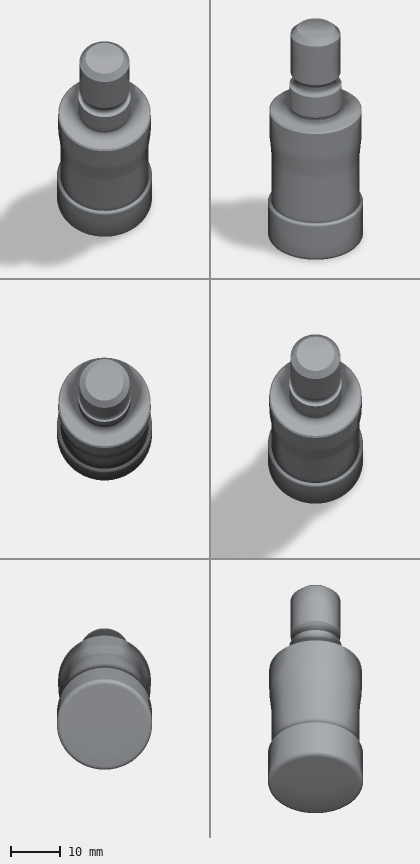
import cadquery as cq
import math

cap_diameter = 19.05
cap_height = 8.58
cap_bottom_fillet = 0.9
cap_top_fillet = 0.5

barrel_radius = 8.8
head_radius = 9.25
cone_bottom_z = 19.5
cone_top_z = 24.05
cone_blend_length = 0.45
head_top_z = 30.15
head_chamfer = 0.3

collar_radius = 5.25
collar_bottom_z = 31.15
collar_top_z = 35.95
undercut_depth = 0.4

total_height = 49.0
stud_radius = 5.0
stud_chamfer = 1.22
stud_bottom_z = 38.65
stud_edge_fillet = 0.35
neck_radius = 3.95
neck_top_fillet = 0.5
neck_base_fillet = 0.9

cap_radius = cap_diameter / 2
undercut_radius = collar_radius - undercut_depth
undercut_top_z = collar_bottom_z - undercut_depth
neck_top_z = stud_bottom_z - (stud_radius - neck_radius)
cone_angle = math.atan((head_radius - barrel_radius) / (cone_top_z - cone_bottom_z))
blend_rise = cone_blend_length * math.cos(cone_angle)
blend_run = cone_blend_length * math.sin(cone_angle)


def fillet_rim(body, radius, z, size):
    """Round the circular edge of the given radius at height z."""
    rims = body.edges("%CIRCLE")
    tolerance = 0.0005
    rim = rims.filter(
        lambda edge: abs(edge.Center().z - z) < tolerance and abs(edge.radius() - radius) < tolerance
    )
    return rim.fillet(size)


def make_cap():
    """Solid round cap with both rims rounded."""
    cap = cq.Workplane("XY").circle(cap_radius).extrude(cap_height)
    cap = cap.faces("<Z").edges().fillet(cap_bottom_fillet)
    return cap.faces(">Z").edges().fillet(cap_top_fillet)


def make_body():
    """Barrel, head, collar and stud turned as one piece, standing on the cap."""
    profile = (
        cq.Workplane("XZ")
        .moveTo(0, cap_height)
        .lineTo(barrel_radius, cap_height)
        .lineTo(barrel_radius, cone_bottom_z - cone_blend_length)
        .tangentArcPoint((barrel_radius + blend_run, cone_bottom_z + blend_rise), relative=False)
        .lineTo(head_radius - blend_run, cone_top_z - blend_rise)
        .tangentArcPoint((head_radius, cone_top_z + cone_blend_length), relative=False)
        .lineTo(head_radius, head_top_z - head_chamfer)
        .lineTo(head_radius - head_chamfer, head_top_z)
        .lineTo(undercut_radius, head_top_z)
        .lineTo(undercut_radius, undercut_top_z)
        .lineTo(collar_radius, collar_bottom_z)
        .lineTo(collar_radius, collar_top_z)
        .lineTo(neck_radius, collar_top_z)
        .lineTo(neck_radius, neck_top_z)
        .lineTo(stud_radius, stud_bottom_z)
        .lineTo(stud_radius, total_height - stud_chamfer)
        .lineTo(stud_radius - stud_chamfer, total_height)
        .lineTo(0, total_height)
        .close()
    )
    body = profile.revolve(360, (0, 0, 0), (0, 1, 0))
    body = fillet_rim(body, undercut_radius, head_top_z, undercut_depth)
    body = fillet_rim(body, neck_radius, collar_top_z, neck_base_fillet)
    body = fillet_rim(body, neck_radius, neck_top_z, neck_top_fillet)
    return fillet_rim(body, stud_radius, stud_bottom_z, stud_edge_fillet)


cap = make_cap()
body = make_body()
result = cq.Compound.makeCompound([cap.val(), body.val()])